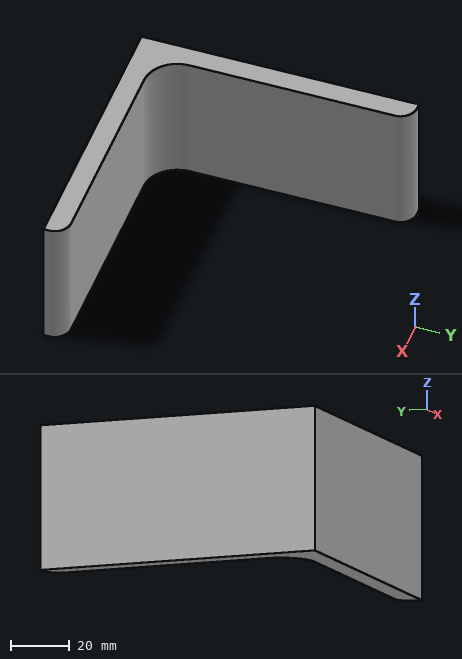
import cadquery as cq

leg_length = 100.0
thickness = 8.0
length = 50.0
root_radius = 12.0
toe_radius = 6.0


def leg(size_x, size_y):
    """Rectangular leg with its outer corner at the origin."""
    return cq.Workplane("XY").box(size_x, size_y, length, centered=False)


def vertical_edge_at(x, y):
    """Selector for the vertical edge passing through (x, y)."""
    return cq.selectors.NearestToPointSelector((x, y, length / 2))


angle = leg(leg_length, thickness).union(leg(thickness, leg_length))
angle = angle.edges(vertical_edge_at(thickness, thickness)).fillet(root_radius)

for toe_x, toe_y in [(leg_length, thickness), (thickness, leg_length)]:
    angle = angle.edges(vertical_edge_at(toe_x, toe_y)).fillet(toe_radius)

result = angle